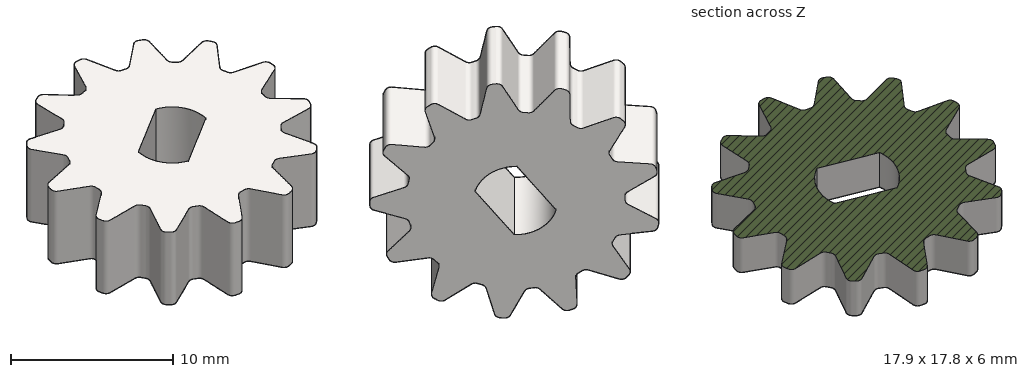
import cadquery as cq
import math

TOOTH_COUNT = 13
TIP_RADIUS = 9.0
ROOT_RADIUS = 6.75
THICKNESS = 6.0

REFERENCE_RADIUS = 8.0
HALF_WIDTH = 0.765
FLANK_ANGLE = math.radians(20)
TIP_FILLET = 0.4
ROOT_FILLET = 0.4

BORE_DIAMETER = 5.2
BORE_ACROSS_FLATS = 3.2

PITCH_ANGLE = 2 * math.pi / TOOTH_COUNT
FIRST_TOOTH_ANGLE = math.pi / 2


def polar(radius, angle):
    return (radius * math.cos(angle), radius * math.sin(angle))


def flank_offset_angle(radius):
    """Angle between the tooth axis and the point where a flank meets a circle about the gear centre."""
    apex_radius = REFERENCE_RADIUS + HALF_WIDTH / math.tan(FLANK_ANGLE)
    return math.asin(apex_radius * math.sin(FLANK_ANGLE) / radius) - FLANK_ANGLE


def gear_blank():
    """Toothed disc with sharp corners; tips and roots are arcs about the gear centre."""
    tip_offset = flank_offset_angle(TIP_RADIUS)
    root_offset = flank_offset_angle(ROOT_RADIUS)
    outline = cq.Workplane("XY").moveTo(*polar(ROOT_RADIUS, FIRST_TOOTH_ANGLE - root_offset))
    for tooth in range(TOOTH_COUNT):
        axis = FIRST_TOOTH_ANGLE + tooth * PITCH_ANGLE
        next_axis = axis + PITCH_ANGLE
        outline = outline.lineTo(*polar(TIP_RADIUS, axis - tip_offset))
        outline = outline.threePointArc(polar(TIP_RADIUS, axis), polar(TIP_RADIUS, axis + tip_offset))
        outline = outline.lineTo(*polar(ROOT_RADIUS, axis + root_offset))
        outline = outline.threePointArc(
            polar(ROOT_RADIUS, axis + PITCH_ANGLE / 2),
            polar(ROOT_RADIUS, next_axis - root_offset),
        )
    return outline.close().extrude(THICKNESS)


def round_tooth_corners(gear):
    """Fillet the upright edges at the tooth tips, then those at the tooth roots."""
    middle_radius = (TIP_RADIUS + ROOT_RADIUS) / 2

    def is_tip_edge(edge):
        center = edge.Center()
        return math.hypot(center.x, center.y) > middle_radius

    tip_edges = gear.edges("|Z").filter(is_tip_edge)
    gear = tip_edges.fillet(TIP_FILLET)
    root_edges = gear.edges("|Z").filter(lambda edge: not is_tip_edge(edge))
    return root_edges.fillet(ROOT_FILLET)


def bore_cutter():
    """Round bar trimmed by two flats, used to cut the through bore."""
    bar = cq.Workplane("XY").circle(BORE_DIAMETER / 2).extrude(THICKNESS)
    flats = cq.Workplane("XY").rect(BORE_ACROSS_FLATS, BORE_DIAMETER).extrude(THICKNESS)
    return bar.intersect(flats)


result = round_tooth_corners(gear_blank()).cut(bore_cutter())